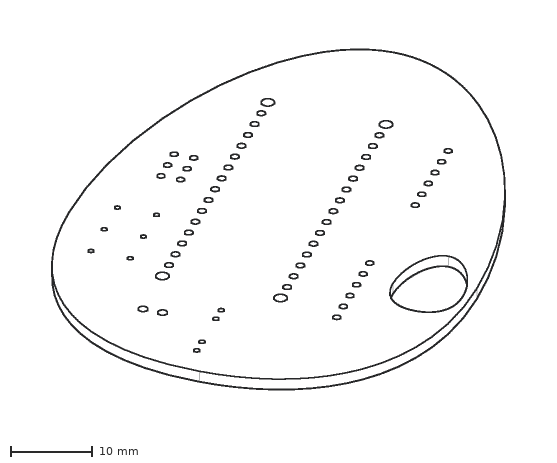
import cadquery as cq

LENGTH = 74.65
WIDTH = 52.85
THICKNESS = 1.6
WIDEST_Y = -9.0

TIP_REACH = 14.1
UPPER_SIDE_REACH = 22.25
LOWER_SIDE_REACH = 18.2
BASE_REACH = 16.1

WINDOW_LENGTH = 12.8
WINDOW_CENTRE = (20.8, -9.8)

PITCH = 2.55
MOUNT_DIAMETER = 1.65
MODULE_PIN_DIAMETER = 1.05
HEADER_DIAMETER = 1.0
POWER_DIAMETER = 1.2
BUTTON_DIAMETER = 0.7
LEAD_DIAMETER = 0.75

MODULE_COLUMNS = (-11.05, 4.25)
MODULE_CENTRE_Y = 1.6
MODULE_ROW_COUNT = 17

HEADER_COUNT = 6
HEADER_CENTRES = ((13.35, 12.4), (12.2, -14.25))

BLOCK_CENTRE = (-17.0, 4.8)

BUTTON_CENTRE = (-18.6, -11.2)

POWER_CENTRE = (-9.7, -26.4)

LEAD_X = -1.8
LEAD_SPACING = 2.0
LEAD_PAIR_CENTRES_Y = (-24.6, -32.0)


def egg(length, centre):
    """Closed egg outline, similar to the board, as four Bezier curves."""
    scale = length / LENGTH

    def at(x, y):
        return (centre[0] + scale * x, centre[1] + scale * y)

    side = WIDTH / 2
    end = LENGTH / 2
    above = WIDEST_Y + UPPER_SIDE_REACH
    below = WIDEST_Y - LOWER_SIDE_REACH
    return (
        cq.Workplane("XY")
        .moveTo(*at(0, end))
        .bezier([at(0, end), at(TIP_REACH, end), at(side, above), at(side, WIDEST_Y)])
        .bezier([at(side, WIDEST_Y), at(side, below), at(BASE_REACH, -end), at(0, -end)])
        .bezier([at(0, -end), at(-BASE_REACH, -end), at(-side, below), at(-side, WIDEST_Y)])
        .bezier([at(-side, WIDEST_Y), at(-side, above), at(-TIP_REACH, end), at(0, end)])
        .close()
    )


def grid(centre, columns, rows, spacing):
    """Centres of a regular grid of holes around a centre, from bottom to top."""
    return [
        (
            centre[0] + (column - (columns - 1) / 2) * spacing,
            centre[1] + (row - (rows - 1) / 2) * spacing,
        )
        for column in range(columns)
        for row in range(rows)
    ]


def drill(body, points, diameter):
    """Cut through holes at the given points."""
    drills = cq.Workplane("XY").pushPoints(points).circle(diameter / 2).extrude(THICKNESS)
    return body.cut(drills)


board = egg(LENGTH, (0, 0)).extrude(THICKNESS)
board = board.cut(egg(WINDOW_LENGTH, WINDOW_CENTRE).extrude(THICKNESS))

for column_x in MODULE_COLUMNS:
    row = grid((column_x, MODULE_CENTRE_Y), 1, MODULE_ROW_COUNT, PITCH)
    board = drill(board, [row[0], row[-1]], MOUNT_DIAMETER)
    board = drill(board, row[1:-1], MODULE_PIN_DIAMETER)

for header_centre in HEADER_CENTRES:
    board = drill(board, grid(header_centre, 1, HEADER_COUNT, PITCH), HEADER_DIAMETER)
board = drill(board, grid(BLOCK_CENTRE, 2, 3, PITCH), HEADER_DIAMETER)

board = drill(board, grid(BUTTON_CENTRE, 2, 3, 2 * PITCH), BUTTON_DIAMETER)
board = drill(board, grid(POWER_CENTRE, 2, 1, PITCH), POWER_DIAMETER)

for pair_y in LEAD_PAIR_CENTRES_Y:
    board = drill(board, grid((LEAD_X, pair_y), 1, 2, LEAD_SPACING), LEAD_DIAMETER)

result = board